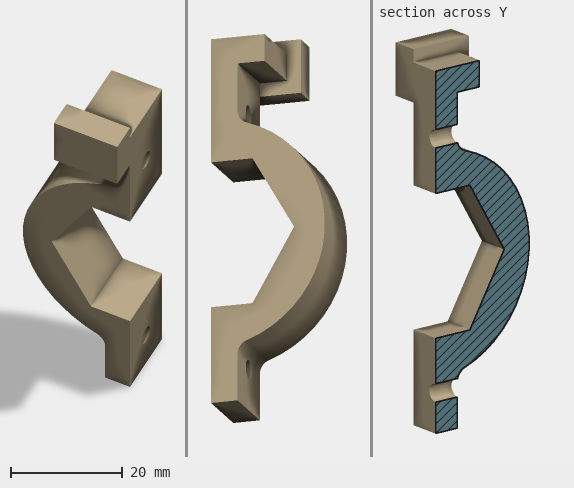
import cadquery as cq
import math

body_width = 12.7
outer_radius = 21.5
hexagon_apothem = 13.55
flange_thickness = 5.0
flange_bottom = -31.5
block_top = 39.1
block_length = 12.7
block_height = 10.0
block_thickness = 5.1
lip_length = 10.1
lip_height = 5.0
root_fillet = 2.55
hole_diameter = 3.4
hole_offset = 23.9

block_center_z = block_top - block_height / 2
lip_top = block_center_z + lip_height / 2


def box(x_size, y_min, y_max, z_min, z_max):
    """Box extending from the mating face toward -X."""
    return cq.Workplane("XY").box(
        x_size, y_max - y_min, z_max - z_min, centered=False
    ).translate((-x_size, y_min, z_min))


def make_clamp_body():
    """Half ring blended into two flat flanges."""
    ring = (
        cq.Workplane("XZ")
        .moveTo(0, outer_radius)
        .threePointArc((-outer_radius, 0), (0, -outer_radius))
        .close()
        .extrude(-body_width)
    )
    flange = box(flange_thickness, 0, body_width, flange_bottom, lip_top)
    root_z = math.sqrt(outer_radius**2 - flange_thickness**2)
    body = ring.union(flange)
    for side in (-1, 1):
        root = cq.selectors.NearestToPointSelector((-flange_thickness, body_width / 2, side * root_z))
        body = body.edges("|Y").edges(root).fillet(root_fillet)
    return body


def make_hexagon():
    """Hexagonal bore with two flats parallel to XY."""
    diameter_across_corners = 2 * hexagon_apothem / math.cos(math.pi / 6)
    return cq.Workplane("XZ").polygon(6, diameter_across_corners).extrude(-body_width)


def make_holes():
    """One screw hole through each flange."""
    return (
        cq.Workplane("YZ")
        .pushPoints([(body_width / 2, side * hole_offset) for side in (-1, 1)])
        .circle(hole_diameter / 2)
        .extrude(-outer_radius)
    )


lip = box(lip_length, 0, body_width, lip_top - lip_height, lip_top)
side_block = box(block_length, -block_thickness, 0, block_top - block_height, block_top)

result = make_clamp_body().cut(make_hexagon()).cut(make_holes()).union(lip).union(side_block)